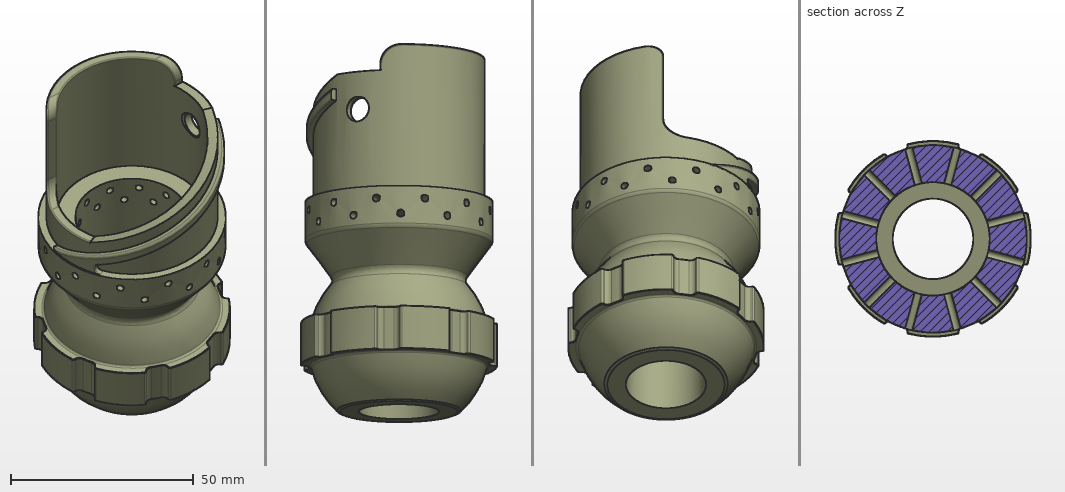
import cadquery as cq
import math

total_height = 98.0
ball_centre_z = 18.6
ring_bottom_z = 12.6
ring_top_z = 2 * ball_centre_z - ring_bottom_z
cone_bottom_z = 36.2
cone_top_z = 47.1
collar_top_z = 58.1

ball_radius = 24.9
collar_radius = 51.4 / 2
neck_fillet = 2.1
collar_fillet = 2.0
foot_chamfer = 0.5

ring_lobes = 8
ring_radius = 53.6 / 2
ring_floor_radius = 24.9
lobe_width = 14.2
lobe_tip_fillet = 0.6
lobe_root_fillet = 1.7
ring_edge_chamfer = 0.15
ring_ball_fillet = 0.7

through_radius = 22.0 / 2
chamber_radius = 31.0 / 2
chamber_floor_z = cone_bottom_z

cup_radius = 46.9 / 2
cup_bore_radius = 41.4 / 2
front_wall_x = -13.3
rear_wall_x = -6.4
front_rim_z = 67.2
rear_rim_z = 90.7
front_top_round = 4.0
front_root_round = 5.6
rear_top_round = 5.7
wall_edge_fillet = 0.4
pin_hole_diameter = 6.9
pin_hole_z = 80.4
pin_hole_chamfer = 0.6

rim_start_angle = -67.0
rim_end_angle = 73.0
shelf_end_angle = 120.0
rise_per_degree = (rear_rim_z - front_rim_z) / (rim_end_angle - rim_start_angle)

rib_radius = 25.3
rib_root_radius = 22.5
rib_height = 3.1
rib_end_angle = 72.0
rib_top_at_x_axis = 74.6
rib_gap_start_angle = -61.5
rib_gap_round = 1.5
rib_top_fillet = 0.8
rib_under_fillet = 0.3

vents_per_row = 12
vent_spacing = 360 / vents_per_row
vent_diameter = 2.0
lower_vent_z = 50.5
upper_vent_z = 54.8

clear_radius = 39.2
clear_angle = 5.0
clear_wall = 1.0
near = 0.05


def disc(radius, bottom_z, top_z):
    """Solid cylinder on the axis."""
    return cq.Workplane("XY", origin=(0, 0, bottom_z)).circle(radius).extrude(top_z - bottom_z)


def tube(outer_radius, inner_radius, bottom_z, top_z):
    """Hollow cylinder on the axis."""
    return disc(outer_radius, bottom_z, top_z).cut(disc(inner_radius, bottom_z, top_z))


def polar(radius, angle):
    """X and Y of a point at a radius and an angle in degrees."""
    return (radius * math.cos(math.radians(angle)), radius * math.sin(math.radians(angle)))


def sector(start_angle, end_angle, bottom_z):
    """Pie-slice outline around the axis, ready to extrude upward."""
    return (
        cq.Workplane("XY", origin=(0, 0, bottom_z))
        .lineTo(*polar(clear_radius, start_angle))
        .threePointArc(
            polar(clear_radius, (start_angle + end_angle) / 2),
            polar(clear_radius, end_angle),
        )
        .close()
    )


def band_under_spiral(band, start_angle, end_angle, bottom_z):
    """Part of a tube below a helicoid that climbs from bottom_z, between two angles."""
    sweep = end_angle - start_angle
    height = sweep * rise_per_degree
    twisted = sector(start_angle, end_angle, bottom_z).twistExtrude(height, sweep)
    return band.intersect(twisted).intersect(sector(start_angle, end_angle, bottom_z).extrude(height))


def circle_at(height):
    """Selector for the full circles, centred on the axis, at one height."""
    return cq.selectors.BoxSelector((-near, -near, height - near), (near, near, height + near))


def make_body():
    """Ball, neck, cone and collar, turned about the axis."""
    foot_radius = math.sqrt(ball_radius**2 - ball_centre_z**2)
    neck_radius = math.sqrt(ball_radius**2 - (cone_bottom_z - ball_centre_z) ** 2)
    body = (
        cq.Workplane("XZ")
        .lineTo(foot_radius, 0)
        .threePointArc((ball_radius, ball_centre_z), (neck_radius, cone_bottom_z))
        .lineTo(collar_radius, cone_top_z)
        .lineTo(collar_radius, collar_top_z)
        .lineTo(0, collar_top_z)
        .close()
        .revolve(360, (0, 0, 0), (0, 1, 0))
    )
    body = body.edges(circle_at(cone_bottom_z)).fillet(neck_fillet)
    body = body.edges(circle_at(cone_top_z)).fillet(collar_fillet)
    return body.faces("<Z").chamfer(foot_chamfer)


def make_ring():
    """Ring with rounded lobes spread evenly around it."""
    height = ring_top_z - ring_bottom_z
    ring = disc(ring_floor_radius, ring_bottom_z, ring_top_z)
    lobe_limit = disc(ring_radius, ring_bottom_z, ring_top_z)
    for i in range(ring_lobes // 2):
        lobe_pair = (
            cq.Workplane("XY", origin=(0, 0, ring_bottom_z))
            .transformed(rotate=(0, 0, i * 360 / ring_lobes))
            .rect(2 * clear_radius, lobe_width)
            .extrude(height)
        )
        ring = ring.union(lobe_pair.intersect(lobe_limit))

    def is_lobe_tip(edge):
        return math.hypot(edge.Center().x, edge.Center().y) > ring_radius - near

    def is_lobe_root(edge):
        return math.hypot(edge.Center().x, edge.Center().y) < ring_floor_radius + near

    ring = ring.edges("|Z").filter(is_lobe_tip).fillet(lobe_tip_fillet)
    ring = ring.edges("|Z").filter(is_lobe_root).fillet(lobe_root_fillet)
    return ring.faces("|Z").edges().chamfer(ring_edge_chamfer)


def opening(wall_x, rim_z, top_round, root_round):
    """Cutter on the +Y side for all right of wall_x and above rim_z, with the wall rounded."""
    outline = cq.Workplane("XZ").moveTo(clear_radius, rim_z).lineTo(wall_x + root_round, rim_z)
    if root_round:
        outline = outline.radiusArc((wall_x, rim_z + root_round), root_round)
    return (
        outline.lineTo(wall_x, total_height - top_round)
        .radiusArc((wall_x - top_round, total_height), -top_round)
        .lineTo(clear_radius, total_height)
        .close()
        .extrude(-clear_radius)
    )


def band_between(start_angle, end_angle, top_z):
    """Stretch of plain cup wall between two angles, from the collar up."""
    band = tube(cup_radius, cup_bore_radius, collar_top_z, top_z)
    return band.intersect(sector(start_angle, end_angle, collar_top_z).extrude(total_height))


def make_cup():
    """Tall back wall, low front opening, rear shelf and a spiral rim joining the last two."""
    wall = tube(cup_radius, cup_bore_radius, collar_top_z, total_height)
    wall = wall.cut(opening(front_wall_x, front_rim_z, front_top_round, front_root_round).mirror("XZ"))
    wall = wall.cut(opening(rear_wall_x, front_rim_z, rear_top_round, root_round=0))

    def is_rim_edge(edge):
        return edge.Center().z > front_rim_z - near

    wall = wall.edges("not |Y").filter(is_rim_edge).fillet(wall_edge_fillet)

    base = band_between(rim_start_angle, rim_end_angle, front_rim_z)
    shelf = band_between(rim_end_angle, shelf_end_angle, rear_rim_z)
    spiral_band = tube(cup_radius, cup_bore_radius, front_rim_z, rear_rim_z)
    spiral = band_under_spiral(spiral_band, rim_start_angle, rim_end_angle, front_rim_z)
    return wall.union(base).union(spiral).union(shelf)


def make_rib():
    """Spiral rib on the cup, its lower end filled down to the collar."""
    rib_band = tube(rib_radius, rib_root_radius, collar_top_z, total_height)
    top_start = -(rib_top_at_x_axis - collar_top_z) / rise_per_degree
    under_start = top_start + rib_height / rise_per_degree
    rib = band_under_spiral(rib_band, top_start, rib_end_angle, collar_top_z)

    gap_end_angle = rib_end_angle + clear_angle
    gap_band = tube(rib_radius + clear_wall, rib_root_radius - clear_wall, collar_top_z, total_height)
    gap = band_under_spiral(gap_band, under_start, gap_end_angle, collar_top_z)
    gap = gap.intersect(sector(rib_gap_start_angle, gap_end_angle, collar_top_z).extrude(total_height))

    def is_gap_end(edge):
        middle = edge.Center()
        off_plane = math.hypot(middle.x, middle.y) * math.sin(
            math.atan2(middle.y, middle.x) - math.radians(rib_gap_start_angle)
        )
        return abs(off_plane) < near and edge.BoundingBox().zlen < near

    gap = gap.edges().filter(is_gap_end).fillet(rib_gap_round)
    rib = rib.cut(gap)

    def is_outer_spiral(edge):
        start = edge.startPoint()
        end = edge.endPoint()
        on_outside = min(math.hypot(start.x, start.y), math.hypot(end.x, end.y)) > rib_radius - near
        return on_outside and edge.Length() > rib_radius and abs(end.z - start.z) > rib_height

    rib = rib.edges().filter(is_outer_spiral).sort(cq.Edge.Length)[-1].fillet(rib_top_fillet)
    return rib.edges().filter(is_outer_spiral).sort(cq.Edge.Length)[0].fillet(rib_under_fillet)


def make_vents(height, first_angle):
    """Radial holes around the collar at one height."""
    vents = cq.Workplane("XY")
    vent = cq.Workplane("YZ").center(0, height).circle(vent_diameter / 2).extrude(clear_radius)
    for i in range(vents_per_row):
        vents = vents.add(vent.rotate((0, 0, 0), (0, 0, 1), first_angle + i * vent_spacing))
    return vents.combine()


def make_pin_hole():
    """Hole through the rear wall, countersunk on the inside."""
    radius = pin_hole_diameter / 2
    hole = cq.Workplane("XZ").center(0, pin_hole_z).circle(radius).extrude(-clear_radius)
    mouth_radius = radius + pin_hole_chamfer
    mouth_y = math.sqrt(cup_bore_radius**2 - mouth_radius**2)
    countersink = cq.Solid.makeCone(
        mouth_radius, 0, mouth_radius, cq.Vector(0, mouth_y, pin_hole_z), cq.Vector(0, 1, 0)
    )
    return hole.union(countersink)


body = make_body().union(make_ring())
body = body.edges(circle_at(ring_bottom_z)).fillet(ring_ball_fillet)
body = body.edges(circle_at(ring_top_z)).fillet(ring_ball_fillet)
body = body.union(make_cup()).union(make_rib())
body = body.cut(disc(through_radius, 0, collar_top_z))
body = body.cut(disc(chamber_radius, chamber_floor_z, collar_top_z))
body = body.cut(make_vents(lower_vent_z, 0))
body = body.cut(make_vents(upper_vent_z, vent_spacing / 2))
result = body.cut(make_pin_hole())